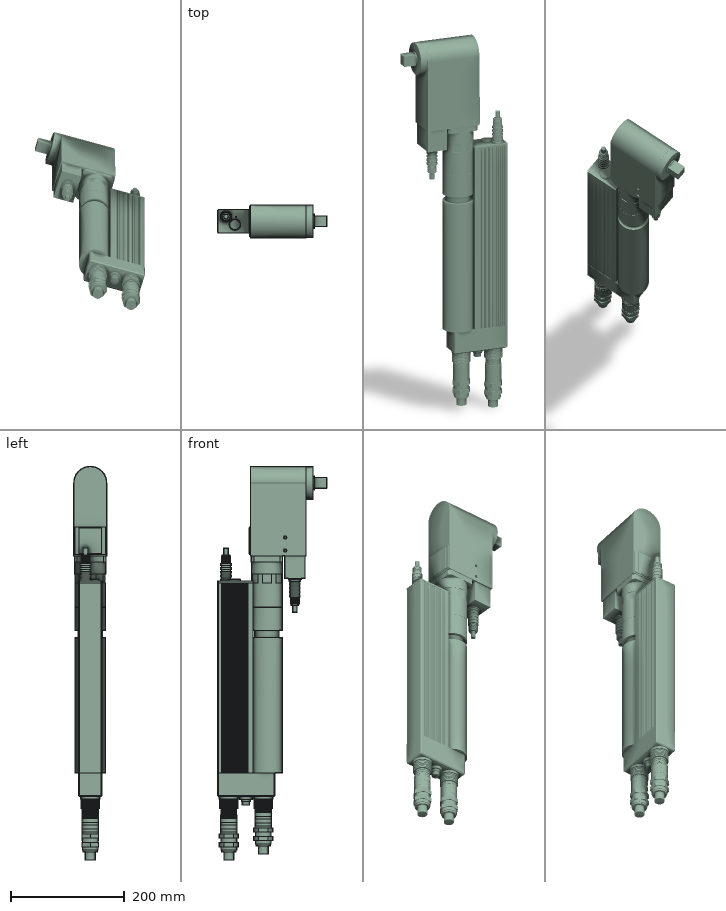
import cadquery as cq
import math


head_width = 58.0
head_radius = head_width / 2
head_x_min = -head_radius
head_x_max = 68.8
head_top = 538.3
head_bottom = 381.1
output_axis_z = head_top - head_radius
collar_diameter = 57.6
collar_end = 81.3
boss_diameter = 25.0
boss_end = 83.4
square_side = 19.05
square_chamfer = 0.5
square_end = 105.47
cover_bottom = head_bottom + 2.5
cover_top = 432.0
cover_width = 54.0
cover_thickness = 1.5
panel_margin = 7.0
panel_edge = 2.0
panel_thickness = 0.8
dowel_diameter = 5.5
dowel_depth = 10.0
dowel_x = 32.1
dowel_heights = (390.7, 413.6)
sensor_box_x_min = 31.3
sensor_box_x_max = 66.9
sensor_box_width = 52.0
sensor_box_bottom = 341.8
sensor_socket_diameter = 22.5
sensor_socket_height = 2.0
sensor_box_x = (sensor_box_x_min + sensor_box_x_max) / 2
sensor_socket_end = sensor_box_bottom - sensor_socket_height

tube_diameter = 54.4
ring_diameter = 55.0
flange_side = 55.5
flange_chamfer = 4.7
flange_bottom = 370.7
flats_top = 349.8
flats_bottom = 333.4
flat_width = 15.5
flat_count = 7
gear_joint_z = 290.5
joint_depth = 0.3
joint_width = 1.0
neck_top = 250.3
neck_bottom = 237.7
neck_diameter = 43.0

controller_x_min = -86.7
controller_x_max = -24.0
controller_width = 41.5
controller_top = 337.3
box_x_max = 14.3
box_bottom = -41.3
corner_chamfer = 1.8
sleeve_inset = 0.15
fin_x_min = -80.2
fin_x_max = -32.7
fin_top = 334.0
fin_pitch = 2.5
fin_groove = fin_pitch / 2
fin_depth = 1.5
lid_socket_x = -56.2
lid_socket_y = -5.8
lid_socket_steps = ((20.0, 2.0), (18.0, 1.5))
drain_x = -36.9
drain_steps = ((22.5, 5.0), (16.0, 4.0), (13.4, 6.3))

socket_flange = (34.0, 4.0)
thread_core = 29.4
thread_crest = 32.0
thread_pitch = 2.8
thread_count = 6
neck_core = 25.0
neck_crest = 27.0
neck_ring_pitch = 3.6

power_plug_length = 79.0
left_plug_x = -66.9
right_plug_x = -6.4
left_plug_z = -153.1 + power_plug_length
right_plug_z = left_plug_z + 10.6
power_plugs_at = ((left_plug_x, left_plug_z), (right_plug_x, right_plug_z))
grip_diameter = 29.4
grip_groove = 28.6
grip_pitch = 2.0
grip_count = 3
body_steps = ((29.4, 7.2), (29.0, 4.2), (29.4, 7.3), (29.0, 5.2), (29.4, 3.1))
nut_flats = 29.4
nut_height = 7.5
nut_pitch = 2 * nut_height
tail_diameter = 28.0
tail_length = 6.0
end_step = (26.0, 2.9)
cable_diameter = 17.59

sensor_plug_x = -71.8
sensor_plug_y = 8.3
sensor_flange = (20.0, 3.2)
boot_core = 16.5
boot_rib = 18.7
boot_pitch = 6.8
boot_count = 4
clamp_core = 14.2
clamp_rib = 16.0
clamp_pitch = 2.6
clamp_count = 5
sensor_cable_steps = ((13.4, 2.0), (8.0, 12.3))


def box(x_min, x_max, width, z_min, z_max):
    """Block centred on Y = 0."""
    return (
        cq.Workplane("XY", origin=((x_min + x_max) / 2, 0, z_min))
        .box(x_max - x_min, width, z_max - z_min, centered=(True, True, False))
    )


def cylinder(diameter, z_min, z_max, x=0.0):
    return cq.Workplane("XY", origin=(x, 0, z_min)).circle(diameter / 2).extrude(z_max - z_min)


def stepped_shaft(steps):
    """Upright turned shape from z = 0, given as (diameter, length) steps."""
    points = [(0, 0)]
    z = 0
    for diameter, length in steps:
        points.append((diameter / 2, z))
        z += length
        points.append((diameter / 2, z))
    points.append((0, z))
    return cq.Workplane("XZ").polyline(points).close().revolve(360, (0, 0), (0, 1))


def ribbed(core, crest, pitch, count):
    """Steps of alternating core and crest rings."""
    return [(core, pitch / 2), (crest, pitch / 2)] * count


def facing_down(shape):
    return shape.rotate((0, 0, 0), (1, 0, 0), 180)


def make_head():
    profile = (
        cq.Workplane("YZ", origin=(head_x_min, 0, 0))
        .moveTo(-head_radius, head_bottom)
        .lineTo(head_radius, head_bottom)
        .lineTo(head_radius, output_axis_z)
        .threePointArc((0, head_top), (-head_radius, output_axis_z))
        .close()
    )
    head = profile.extrude(head_x_max - head_x_min)

    def on_output_axis(x):
        return cq.Workplane("YZ", origin=(x, 0, output_axis_z))

    collar = on_output_axis(head_x_max).circle(collar_diameter / 2).extrude(collar_end - head_x_max)
    boss = on_output_axis(collar_end).circle(boss_diameter / 2).extrude(boss_end - collar_end)
    square = (
        on_output_axis(boss_end)
        .rect(square_side, square_side)
        .extrude(square_end - boss_end)
        .faces(">X")
        .chamfer(square_chamfer)
    )

    cover_face = head_x_min - cover_thickness
    cover = box(cover_face, head_x_min, cover_width, cover_bottom, cover_top)
    panel = box(
        cover_face - panel_thickness,
        cover_face,
        cover_width - 2 * panel_margin,
        cover_bottom + panel_edge,
        cover_top - panel_edge,
    )
    sensor_box = box(
        sensor_box_x_min, sensor_box_x_max, sensor_box_width, sensor_box_bottom, head_bottom
    )
    sensor_socket = cylinder(sensor_socket_diameter, sensor_socket_end, sensor_box_bottom, sensor_box_x)
    for piece in (collar, boss, square, cover, panel, sensor_box, sensor_socket):
        head = head.union(piece)

    dowel_holes = (
        cq.Workplane("XZ", origin=(0, -head_radius, 0))
        .pushPoints([(dowel_x, z) for z in dowel_heights])
        .circle(dowel_diameter / 2)
        .extrude(-dowel_depth)
    )
    return head.cut(dowel_holes)


def make_tube():
    flange = box(-flange_side / 2, flange_side / 2, flange_side, flange_bottom, head_bottom)
    flange = flange.edges("|Z").chamfer(flange_chamfer)
    motor = cylinder(tube_diameter, 0, neck_bottom)
    neck = cylinder(neck_diameter, neck_bottom, neck_top)
    gearbox = cylinder(tube_diameter, neck_top, flats_top)
    ring = cylinder(ring_diameter, flats_top, flange_bottom)
    joint = cylinder(tube_diameter, gear_joint_z, gear_joint_z + joint_width).cut(
        cylinder(tube_diameter - 2 * joint_depth, gear_joint_z, gear_joint_z + joint_width)
    )
    gearbox = gearbox.cut(joint)
    tube_radius = tube_diameter / 2
    flat_distance = math.sqrt(tube_radius**2 - (flat_width / 2) ** 2)
    flat_cutter = box(flat_distance, tube_diameter, tube_diameter, flats_bottom, flats_top)
    for i in range(flat_count):
        gearbox = gearbox.cut(flat_cutter.rotate((0, 0, 0), (0, 0, 1), i * 360 / flat_count - 90))
    return motor.union(neck).union(gearbox).union(ring).union(flange)


def make_fin_grooves():
    count = int((fin_x_max - fin_x_min) / fin_pitch)
    first_x = fin_x_min + fin_pitch / 2
    centres = [
        (first_x + i * fin_pitch, side * controller_width / 2)
        for i in range(count)
        for side in (-1, 1)
    ]
    return cq.Workplane("XY").pushPoints(centres).rect(fin_groove, 2 * fin_depth).extrude(fin_top)


def make_socket(x, end_z):
    """Threaded socket under the connector box that receives a cable plug."""
    steps = [socket_flange] + ribbed(thread_core, thread_crest, thread_pitch, thread_count)
    neck_length = box_bottom - end_z - sum(length for _, length in steps)
    neck_rings = int(neck_length / neck_ring_pitch)
    steps += ribbed(neck_core, neck_crest, neck_ring_pitch, neck_rings)
    steps += [(neck_core, neck_length - neck_rings * neck_ring_pitch)]
    return facing_down(stepped_shaft(steps)).translate((x, 0, box_bottom))


def make_drive():
    """Motor with gearbox and the controller built onto it."""
    cap = box(controller_x_min, controller_x_max, controller_width, fin_top, controller_top)
    sleeve = box(
        controller_x_min + sleeve_inset,
        controller_x_max,
        controller_width - 2 * sleeve_inset,
        0,
        fin_top,
    )
    connector_box = box(controller_x_min, box_x_max, controller_width, box_bottom, 0)
    cap = cap.edges("|Z and <X").chamfer(corner_chamfer)
    sleeve = sleeve.edges("|Z and <X").chamfer(corner_chamfer)
    connector_box = connector_box.edges("|Z").chamfer(corner_chamfer)
    connector_box = connector_box.faces("<Z").chamfer(corner_chamfer)
    housing = connector_box.union(sleeve.cut(make_fin_grooves())).union(cap)
    lid_socket = stepped_shaft(lid_socket_steps).translate((lid_socket_x, lid_socket_y, controller_top))
    drain = facing_down(stepped_shaft(drain_steps)).translate((drain_x, 0, box_bottom))
    drive = housing.union(make_tube()).union(lid_socket).union(drain)
    for x, z in power_plugs_at:
        drive = drive.union(make_socket(x, z))
    return drive


def make_power_plug():
    """Large cable plug hanging down from z = 0, with two hexagon nuts."""
    body = ribbed(grip_diameter, grip_groove, grip_pitch, grip_count)
    body += body_steps
    tail = [(tail_diameter, nut_pitch + nut_height + tail_length), end_step]
    steps = body + tail
    cable_length = power_plug_length - sum(length for _, length in steps)
    plug = stepped_shaft(steps + [(cable_diameter, cable_length)])

    corner_diameter = nut_flats / math.cos(math.pi / 6)
    first_nut_z = sum(length for _, length in body)
    for z in (first_nut_z, first_nut_z + nut_pitch):
        nut = cq.Workplane("XY", origin=(0, 0, z)).polygon(6, corner_diameter).extrude(nut_height)
        plug = plug.union(nut)
    return facing_down(plug)


def make_sensor_plug():
    """Small cable plug standing up from z = 0."""
    steps = [sensor_flange]
    steps += ribbed(boot_core, boot_rib, boot_pitch, boot_count)
    steps += ribbed(clamp_core, clamp_rib, clamp_pitch, clamp_count)
    steps += sensor_cable_steps
    return stepped_shaft(steps)


head = make_head()
drive = make_drive()

power_plugs = []
for x, z in power_plugs_at:
    power_plugs.append(make_power_plug().translate((x, 0, z)).val())

sensor_plugs = [
    make_sensor_plug().translate((sensor_plug_x, sensor_plug_y, controller_top)).val(),
    facing_down(make_sensor_plug()).translate((sensor_box_x, 0, sensor_socket_end)).val(),
]

result = cq.Compound.makeCompound([head.val(), drive.val(), *power_plugs, *sensor_plugs])